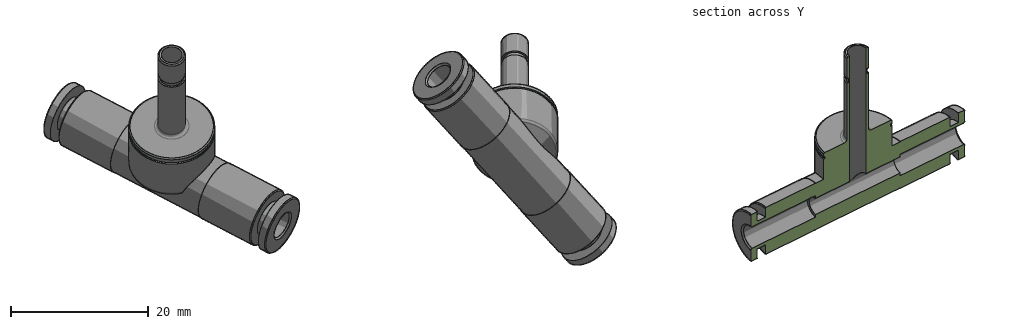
import cadquery as cq
import math

overall_length = 39.0
overall_height = 30.0
core_diameter = 8.9
sleeve_diameter = 9.0
sleeve_inner_x = 7.7
sleeve_outer_x = 16.85
ring_thickness = 1.25
neck_diameter = 5.4
end_chamfer = 0.15

bore_diameter = 3.0
tube_socket_diameter = 4.0
socket_chamfer = 0.25

branch_diameter = 12.5
hub_skirt_z = 1.7
hub_top_z = 8.3
hub_cone_angle = 30.0
hub_rim_fillet = 0.5
cap_bottom_z = 8.6
cap_top_z = 9.45
cap_chamfer = 0.2
cap_groove_depth = 0.25
stem_diameter = 4.0
stem_top_z = overall_height - sleeve_diameter / 2
stem_chamfer = 0.2
stem_root_fillet = 0.5
stem_groove_diameter = 3.5
stem_groove_bottom_z = 20.55
stem_groove_top_z = 21.4

end_x = overall_length / 2
ring_inner_x = end_x - ring_thickness


def x_cylinder(diameter, x_start, x_end):
    """Cylinder on the X axis between two stations."""
    return cq.Workplane("YZ", origin=(x_start, 0, 0)).circle(diameter / 2).extrude(x_end - x_start)


def z_cylinder(diameter, z_start, z_end):
    """Cylinder on the Z axis between two heights."""
    return cq.Workplane("XY", origin=(0, 0, z_start)).circle(diameter / 2).extrude(z_end - z_start)


def push_in_end():
    """Sleeve, neck and release ring of the +X end."""
    sleeve = x_cylinder(sleeve_diameter, sleeve_inner_x, sleeve_outer_x).faces(">X").chamfer(end_chamfer)
    neck = x_cylinder(neck_diameter, sleeve_outer_x, ring_inner_x)
    ring = x_cylinder(sleeve_diameter, ring_inner_x, end_x).faces(">X").chamfer(end_chamfer)
    return sleeve.union(neck).union(ring)


def tube_socket():
    """Stepped entry of the +X end, with a conical lead-in."""
    radius = tube_socket_diameter / 2
    outline = cq.Workplane("XY").moveTo(sleeve_inner_x, 0).lineTo(sleeve_inner_x, radius)
    outline = outline.lineTo(end_x - socket_chamfer, radius).lineTo(end_x, radius + socket_chamfer)
    outline = outline.lineTo(end_x, 0).close()
    return outline.revolve(360, (0, 0, 0), (1, 0, 0))


def both_ends(shape):
    """The shape together with its mirror image across the YZ plane."""
    return shape.union(shape.mirror("YZ"))


def hub():
    """Round hub with a conical underside and a rounded lower rim."""
    radius = branch_diameter / 2
    slope = math.radians(hub_cone_angle)
    arc_sweep = math.pi / 2 - slope

    def rim_point(angle):
        """Point on the rim arc, turned down by angle from the hub wall."""
        x = radius - hub_rim_fillet * (1 - math.cos(angle))
        z = hub_skirt_z - hub_rim_fillet * math.sin(angle)
        return x, z

    cone_start_x, cone_start_z = rim_point(arc_sweep)
    cone_tip_z = cone_start_z - cone_start_x * math.tan(slope)
    outline = (
        cq.Workplane("XZ")
        .moveTo(0, hub_top_z)
        .lineTo(radius, hub_top_z)
        .lineTo(radius, hub_skirt_z)
        .threePointArc(rim_point(arc_sweep / 2), (cone_start_x, cone_start_z))
        .lineTo(0, cone_tip_z)
        .close()
    )
    return outline.revolve(360, (0, 0, 0), (0, 1, 0))


def cap():
    """Chamfered cap, set off from the hub by a narrow groove."""
    groove_core = z_cylinder(branch_diameter - 2 * cap_groove_depth, hub_top_z, cap_bottom_z)
    disc = z_cylinder(branch_diameter, cap_bottom_z, cap_top_z).faces(">Z").chamfer(cap_chamfer)
    return disc.union(groove_core)


def stem():
    """Plug-in stem with a fillet at its root, a retaining groove and a chamfered tip."""
    radius = stem_diameter / 2
    groove_radius = stem_groove_diameter / 2
    root_radius = radius + stem_root_fillet
    arc_offset = stem_root_fillet * (1 - math.sqrt(0.5))
    outline = (
        cq.Workplane("XZ")
        .moveTo(0, cap_top_z)
        .lineTo(root_radius, cap_top_z)
        .threePointArc((radius + arc_offset, cap_top_z + arc_offset), (radius, cap_top_z + stem_root_fillet))
        .lineTo(radius, stem_groove_bottom_z)
        .lineTo(groove_radius, stem_groove_bottom_z)
        .lineTo(groove_radius, stem_groove_top_z)
        .lineTo(radius, stem_groove_top_z)
        .lineTo(radius, stem_top_z - stem_chamfer)
        .lineTo(radius - stem_chamfer, stem_top_z)
        .lineTo(0, stem_top_z)
        .close()
    )
    return outline.revolve(360, (0, 0, 0), (0, 1, 0))


core = x_cylinder(core_diameter, -sleeve_inner_x, sleeve_inner_x)
body = core.union(hub()).union(cap()).union(stem()).union(both_ends(push_in_end()))

run_bore = x_cylinder(bore_diameter, -end_x, end_x)
branch_bore = z_cylinder(bore_diameter, 0, stem_top_z)
result = body.cut(both_ends(tube_socket())).cut(run_bore).cut(branch_bore)